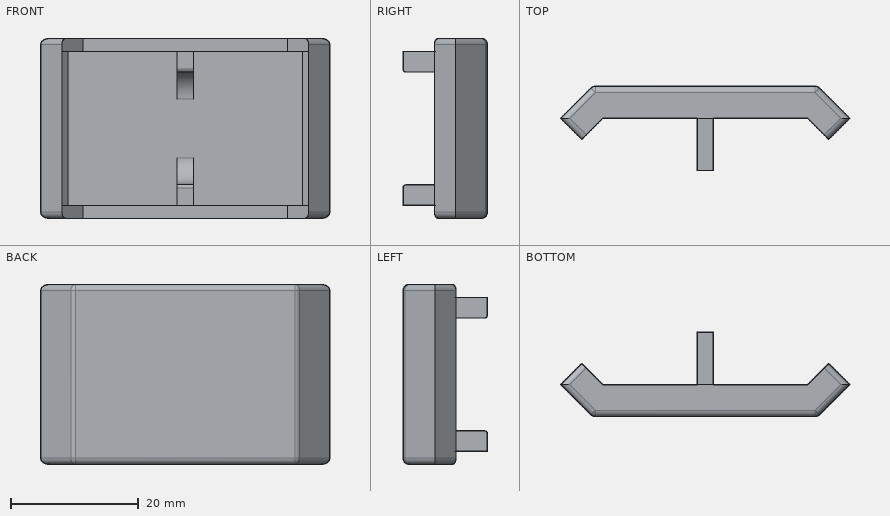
import cadquery as cq

length = 45.25
height = 28.2
total_depth = 13.2

wing_run = 5.02
end_run = 3.3
rim_front = -wing_run
edge_radius = 1.0

rim_height = 2.05
pocket_floor = -4.05
pocket_corner = 0.95

clip_width = 2.6
clip_thickness = 3.25
clip_root_radius = 4.2
clip_tip_radius = 0.5

half_length = length / 2
half_height = height / 2
back_half = half_length - wing_run
lip_half = half_length - end_run
lip_front = rim_front - end_run
rim_half = lip_half - end_run
pocket_half_height = half_height - rim_height
tolerance = 0.005


def symmetric_prism(right_side, half_z):
    """Mirror a right-hand outline across x = 0 and extrude it equally up and down."""
    left_side = [(-x, y) for x, y in reversed(right_side)]
    outline = cq.Workplane("XY").polyline(right_side + left_side).close()
    return outline.extrude(half_z, both=True)


def is_rounded(edge):
    """Pick the back bends and the upper and lower edges of the back, wings and ends."""
    center = edge.Center()
    x = abs(center.x)
    on_end_face = abs(x - center.y - (half_length - rim_front)) < tolerance
    on_wing_back = abs(x + center.y - back_half) < tolerance
    on_back = abs(center.y) < tolerance
    is_bend = on_back and abs(x - back_half) < tolerance
    is_horizontal = abs(abs(center.z) - half_height) < tolerance
    return is_bend or (is_horizontal and (on_back or on_wing_back or on_end_face))


def bent_plate():
    plate = symmetric_prism(
        [
            (back_half, 0),
            (half_length, rim_front),
            (lip_half, lip_front),
            (rim_half, rim_front),
        ],
        half_height,
    )
    rounded_edges = [edge for edge in plate.edges().vals() if is_rounded(edge)]
    return plate.newObject(rounded_edges).fillet(edge_radius)


def pocket():
    return symmetric_prism(
        [
            (lip_half - pocket_corner, pocket_floor),
            (lip_half, pocket_floor - pocket_corner),
            (lip_half, lip_front),
        ],
        pocket_half_height,
    )


def upper_clip():
    """Arm against the upper pocket wall, with a concave root and a rounded inner tip."""
    inner_z = pocket_half_height - clip_thickness
    profile = (
        cq.Workplane("YZ")
        .moveTo(pocket_floor, pocket_half_height)
        .lineTo(-total_depth, pocket_half_height)
        .lineTo(-total_depth, inner_z + clip_tip_radius)
        .radiusArc((-total_depth + clip_tip_radius, inner_z), -clip_tip_radius)
        .lineTo(pocket_floor - clip_root_radius, inner_z)
        .radiusArc((pocket_floor, inner_z - clip_root_radius), clip_root_radius)
        .close()
    )
    return profile.extrude(clip_width / 2, both=True)


clip = upper_clip()
result = bent_plate().cut(pocket()).union(clip).union(clip.mirror("XY"))